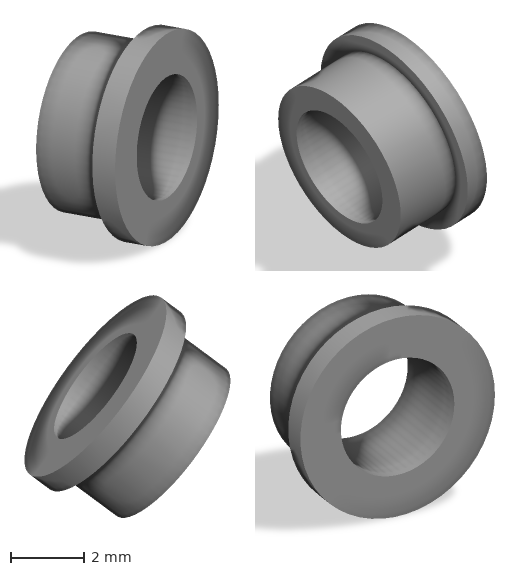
import cadquery as cq

flange_diameter = 6.0
sleeve_diameter = 5.0
bore_diameter = 3.5
total_length = 2.7
flange_thickness = 0.7
sleeve_length = total_length - flange_thickness

sleeve = cq.Workplane("YZ").circle(sleeve_diameter / 2).extrude(sleeve_length)

flange = (
    cq.Workplane("YZ", origin=(sleeve_length, 0, 0))
    .circle(flange_diameter / 2)
    .extrude(flange_thickness)
)

bore = cq.Workplane("YZ").circle(bore_diameter / 2).extrude(total_length)

result = sleeve.union(flange).cut(bore)